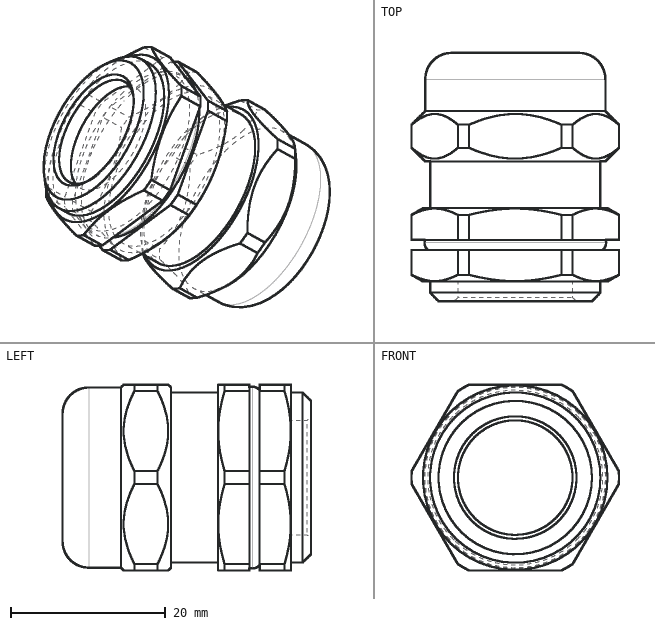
import cadquery as cq
import math

length = 32.1
entry_chamfer_length = 1.12
locknut_start = 2.57
thin_hex_length = 4.08
locknut_end = locknut_start + thin_hex_length
seal_gap = 1.32
seal_center = locknut_end + 0.93
body_hex_start = locknut_end + seal_gap
body_hex_end = body_hex_start + thin_hex_length
cap_hex_start = 18.07
cap_hex_end = 24.55

entry_face_diameter = 19.8
body_diameter = 22.0
seal_diameter = 23.5
seal_section_radius = 1.2
cap_diameter = 23.3
cap_round = 3.45
bore_diameter = 14.8
bore_chamfer = 0.5
bore_depth = 2.5

across_flats = 24.0
corner_diameter = 26.8
corner_turn = 30.0
thin_hex_face_diameter = 23.82
thin_hex_bevel_angle = 30.0
cap_hex_bevel_angle = 45.0


def turned(points):
    """Revolve a closed (radius, y) outline about the Y axis."""
    return cq.Workplane("XY").polyline(points).close().revolve(360, (0, 0, 0), (0, 1, 0))


def cylinder(diameter, start, end):
    """Round bar along Y between two stations."""
    radius = diameter / 2
    return turned([(0, start), (radius, start), (radius, end), (0, end)])


def hexagon(start, end, face_diameter, bevel_angle, bevel_start, bevel_end):
    """Hexagon with turned corners and conical bevels on the chosen end faces."""
    corner_radius = corner_diameter / 2
    face_radius = face_diameter / 2
    bevel = (corner_radius - face_radius) * math.tan(math.radians(bevel_angle))
    envelope = [(0, start)]
    if bevel_start:
        envelope += [(face_radius, start), (corner_radius, start + bevel)]
    else:
        envelope += [(corner_radius, start)]
    if bevel_end:
        envelope += [(corner_radius, end - bevel), (face_radius, end)]
    else:
        envelope += [(corner_radius, end)]
    envelope += [(0, end)]
    prism = (
        cq.Workplane("XZ", origin=(0, start, 0))
        .polygon(6, across_flats, circumscribed=True)
        .extrude(start - end)
        .rotate((0, 0, 0), (0, 1, 0), corner_turn)
    )
    return prism.intersect(turned(envelope))


def body():
    """Central barrel with a chamfered entry end."""
    radius = body_diameter / 2
    return turned([
        (0, 0),
        (entry_face_diameter / 2, 0),
        (radius, entry_chamfer_length),
        (radius, cap_hex_start),
        (0, cap_hex_start),
    ])


def seal():
    """Round-section sealing ring, partly buried in the barrel and both thin hexagons."""
    center_radius = seal_diameter / 2 - seal_section_radius
    return (
        cq.Workplane("XY")
        .center(center_radius, seal_center)
        .circle(seal_section_radius)
        .revolve(360, (-center_radius, 0, 0), (-center_radius, 1, 0))
    )


def cap():
    """Domed clamping cap."""
    return cylinder(cap_diameter, cap_hex_start, length).edges(">Y").fillet(cap_round)


def bore():
    """Blind bore in the entry end with a chamfered mouth."""
    radius = bore_diameter / 2
    return turned([
        (0, 0),
        (radius + bore_chamfer, 0),
        (radius, bore_chamfer),
        (radius, bore_depth),
        (0, bore_depth),
    ])


locknut = hexagon(locknut_start, locknut_end, thin_hex_face_diameter, thin_hex_bevel_angle, True, False)
body_hex = hexagon(body_hex_start, body_hex_end, thin_hex_face_diameter, thin_hex_bevel_angle, False, True)
cap_hex = hexagon(cap_hex_start, cap_hex_end, cap_diameter, cap_hex_bevel_angle, True, True)

result = body().union(locknut).union(seal()).union(body_hex).union(cap_hex).union(cap()).cut(bore())